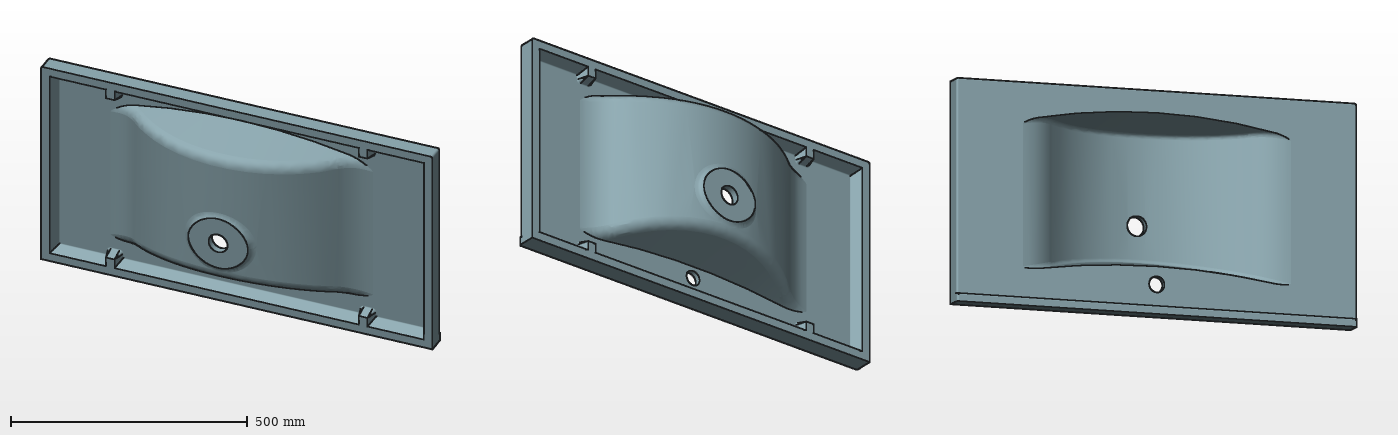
import cadquery as cq
import math

width = 901.0
height = 480.0
slab_depth = 41.0
corner_radius = 5.0
back_edge_radius = 4.5

lip_height = 18.0
lip_depth = 4.0

rim_width = 20.0
wall = 13.5
floor_y = slab_depth - wall
recess_draft = 22.0
recess_radius = 3.0

tab_x = 291.0
tab_width = 20.0
tab_reach = 41.5
tab_draft = 16.0

bowl_depth = 95.0
arch_radius = 345.0
flare_radius = 115.0
bowl_top_z = 443.0
bowl_bottom_z = 92.0
top_curve_radius = 1352.0
bottom_curve_radius = 1713.0
end_draft = 12.5
end_radius = 23.0
body_half_width = 333.5
end_overrun = 45.0
bury = 0.45
closed_y = slab_depth + 9

drain_z = 209.0
drain_radius = 22.0
pad_y = -99.0
pad_half_width = 68.5
pad_half_height = 55.0
pad_blend_radius = 18.0
pad_root = 23.0
pad_spare = 27.0
tap_z = 64.0
tap_radius = 17.0


def front_plane(y):
    """Workplane at the given Y whose extrusions run towards -Y."""
    return cq.Workplane("XZ").workplane(offset=-y)


def make_slab():
    """Plain slab, rounded at the top corners and back edges, with the lip along its foot."""
    slab = front_plane(slab_depth).rect(width, height).extrude(slab_depth)
    slab = slab.translate((0, 0, height / 2))
    slab = slab.edges("|Y and >Z").fillet(corner_radius)
    slab = slab.faces(">Y").edges("not <Z").fillet(back_edge_radius)
    lip = front_plane(slab_depth + lip_depth).rect(width, lip_height).extrude(lip_depth + back_edge_radius)
    lip = lip.translate((0, 0, lip_height / 2))
    lip = lip.faces(">Y").edges("not <Z").fillet(back_edge_radius)
    return slab.union(lip)


def make_recess():
    """Tapered pocket with the four tabs left standing in it."""
    pocket = (
        front_plane(0)
        .rect(width - 2 * rim_width, height - 2 * rim_width)
        .extrude(-floor_y, taper=recess_draft)
        .translate((0, 0, height / 2))
    )
    for x in (-tab_x, tab_x):
        for z in (0, height):
            outline = front_plane(0).center(x, z).rect(tab_width, 2 * tab_reach)
            tab = outline.extrude(-floor_y, taper=-tab_draft)
            pocket = pocket.cut(tab)
    return pocket.faces(">Y").edges().fillet(recess_radius)


def bowl_plan(inset):
    """Bowl plan outline (X, Y), drawn `inset` inside the outer skin."""
    radius = arch_radius - inset
    flare = flare_radius + inset
    base_y = floor_y + bury + inset
    arch_centre_y = arch_radius - bowl_depth
    flare_centre_y = floor_y + bury - flare_radius
    centre_distance = arch_radius + flare_radius
    flare_centre_x = math.sqrt(centre_distance**2 - (arch_centre_y - flare_centre_y) ** 2)
    angle = math.atan2(flare_centre_x, arch_centre_y - flare_centre_y)
    join_x = radius * math.sin(angle)
    join_y = arch_centre_y - radius * math.cos(angle)
    mid_x = flare_centre_x - flare * math.sin(angle / 2)
    mid_y = flare_centre_y + flare * math.cos(angle / 2)
    return (
        cq.Workplane("XY")
        .moveTo(-body_half_width, closed_y)
        .lineTo(-body_half_width, base_y)
        .lineTo(-flare_centre_x, base_y)
        .threePointArc((-mid_x, mid_y), (-join_x, join_y))
        .threePointArc((0, arch_centre_y - radius), (join_x, join_y))
        .threePointArc((mid_x, mid_y), (flare_centre_x, base_y))
        .lineTo(body_half_width, base_y)
        .lineTo(body_half_width, closed_y)
        .close()
    )


def bowl_body(inset):
    """Arched bowl solid with rounded ends, drawn `inset` inside the outer skin."""
    spread = (closed_y - floor_y) * math.tan(math.radians(end_draft))
    top = bowl_top_z + spread - inset
    bottom = bowl_bottom_z - spread + inset
    half = body_half_width + end_overrun
    top_sag = top_curve_radius - math.sqrt(top_curve_radius**2 - half**2)
    bottom_sag = bottom_curve_radius - math.sqrt(bottom_curve_radius**2 - half**2)
    ends = (
        front_plane(closed_y)
        .moveTo(-half, bottom - bottom_sag)
        .threePointArc((0, bottom), (half, bottom - bottom_sag))
        .lineTo(half, top - top_sag)
        .threePointArc((0, top), (-half, top - top_sag))
        .close()
        .extrude(closed_y - pad_y, taper=end_draft)
    )
    body = bowl_plan(inset).extrude(height).intersect(ends)

    end_edges = []
    for edge in body.edges("not |Z").vals():
        runs_crosswise = abs(edge.startPoint().x - edge.endPoint().x) > wall / 2
        if runs_crosswise and edge.Center().y < closed_y - bury:
            end_edges.append(edge)
    return body.newObject(end_edges).fillet(end_radius - inset)


def add_pad(body):
    """Oval drain pad, blended into the bowl and then cut flat."""
    top_y = pad_y - pad_spare
    start_y = -bowl_depth + pad_root
    pad = (
        front_plane(start_y)
        .center(0, drain_z)
        .ellipse(pad_half_width, pad_half_height)
        .extrude(start_y - top_y)
    )
    body = body.union(pad)
    reach_x = pad_half_width + pad_blend_radius
    reach_z = pad_half_height + pad_blend_radius
    around_foot = cq.selectors.BoxSelector(
        (-reach_x, pad_y, drain_z - reach_z),
        (reach_x, start_y, drain_z + reach_z),
    )
    body = body.edges(around_foot).fillet(pad_blend_radius)
    trim = front_plane(pad_y).center(0, drain_z).rect(4 * reach_x, 4 * reach_z).extrude(pad_spare)
    return body.cut(trim)


def hole(z, radius):
    """Round cutter on the centre line, through the whole depth."""
    return front_plane(closed_y).center(0, z).circle(radius).extrude(closed_y - pad_y)


def make_bowl():
    """Solid bowl with its back trimmed off inside the slab wall."""
    bowl = add_pad(bowl_body(0))
    trim_y = floor_y + wall / 3
    trim = front_plane(closed_y).rect(width, 2 * height).extrude(closed_y - trim_y)
    return bowl.cut(trim)


result = make_slab().cut(make_recess()).union(make_bowl())
result = result.cut(bowl_body(wall))
result = result.cut(hole(drain_z, drain_radius))
result = result.cut(hole(tap_z, tap_radius))